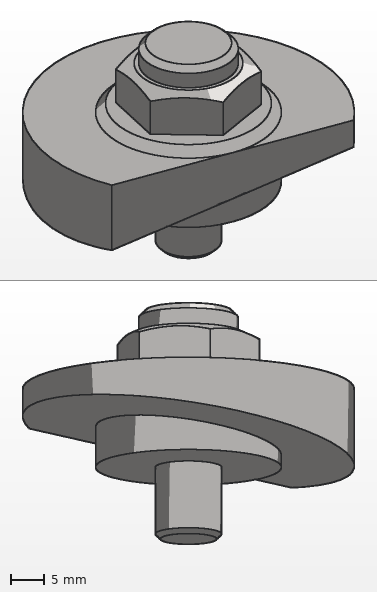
import cadquery as cq
import math


disc_radius = 25.0
disc_top = 12.0
disc_thickest = 12.0
disc_thinnest = 4.0

hub_radius = 14.0
hub_top = 13.5
hub_chamfer = hub_top - disc_top
flat_x = hub_radius

nut_sides = 6
nut_across_flats = 19.0
nut_across_corners = nut_across_flats / math.cos(math.pi / nut_sides)
nut_height = 7.0
nut_top = hub_top + nut_height
nut_top_radius = 8.2
nut_cone_angle = 25.0
bevel_margin = 1.0

head_radius = 7.5
head_top = 24.0
head_chamfer = 1.0

stud_radius = 5.0
stud_length = 11.0
stud_chamfer = 0.75


def make_disc():
    low_rim = disc_top - disc_thickest
    high_rim = disc_top - disc_thinnest
    wedge = (
        cq.Workplane("YZ")
        .moveTo(-disc_radius, low_rim)
        .lineTo(disc_radius, high_rim)
        .lineTo(disc_radius, disc_top)
        .lineTo(-disc_radius, disc_top)
        .close()
        .extrude(disc_radius + flat_x)
        .translate((-disc_radius, 0, 0))
    )
    cylinder = cq.Workplane("XY").circle(disc_radius).extrude(disc_top)
    return wedge.intersect(cylinder)


def make_hub():
    return cq.Workplane("XY").circle(hub_radius).extrude(hub_top).faces(">Z").chamfer(hub_chamfer)


def make_nut():
    prism = (
        cq.Workplane("XY")
        .workplane(offset=hub_top)
        .polygon(nut_sides, nut_across_corners)
        .extrude(nut_height)
    )

    outer_radius = nut_across_corners / 2 + bevel_margin
    bevel_drop = (outer_radius - nut_top_radius) * math.tan(math.radians(nut_cone_angle))
    bevel = (
        cq.Workplane("XZ")
        .moveTo(0, hub_top)
        .lineTo(outer_radius, hub_top)
        .lineTo(outer_radius, nut_top - bevel_drop)
        .lineTo(nut_top_radius, nut_top)
        .lineTo(0, nut_top)
        .close()
        .revolve(360, (0, 0), (0, 1))
    )
    return prism.intersect(bevel)


def make_head():
    return (
        cq.Workplane("XY")
        .workplane(offset=hub_top)
        .circle(head_radius)
        .extrude(head_top - hub_top)
        .faces(">Z")
        .chamfer(head_chamfer)
    )


def make_stud():
    return cq.Workplane("XY").circle(stud_radius).extrude(-stud_length).faces("<Z").chamfer(stud_chamfer)


result = make_disc().union(make_hub()).union(make_nut()).union(make_head()).union(make_stud())